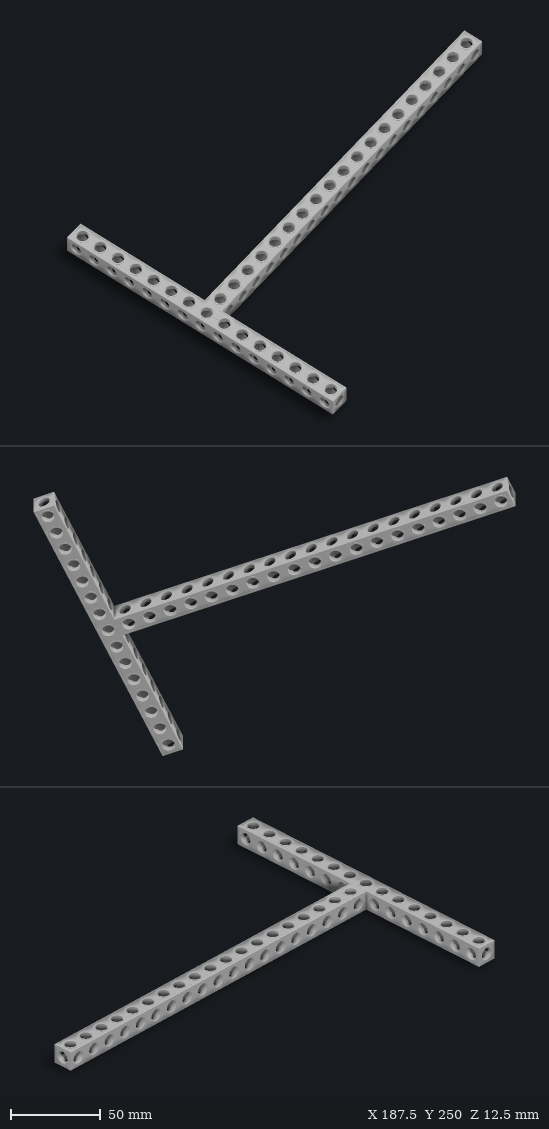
import cadquery as cq

bar_length = 187.5
overall_depth = 250.0
beam_size = 12.5
hole_diameter = 7.0
edge_chamfer = 0.3
land_width = 0.8
recess_depth = 0.2

border_width = edge_chamfer + land_width
lip_diameter = hole_diameter + 2 * border_width
half_beam = beam_size / 2
bar_center_y = (beam_size - overall_depth) / 2
stem_length = overall_depth - beam_size
bar_hole_count = round(bar_length / beam_size)
stem_hole_count = round(stem_length / beam_size)

bar_xs = [(i - (bar_hole_count - 1) / 2) * beam_size for i in range(bar_hole_count)]
stem_ys = [bar_center_y + (i + 1) * beam_size for i in range(stem_hole_count)]
vertical_centers = [(x, bar_center_y) for x in bar_xs] + [(0, y) for y in stem_ys]


def tee(inset, bottom_z, height):
    """T-shaped block whose outline lies inset from the outer faces."""
    width = beam_size - 2 * inset
    bar = cq.Workplane("XY", origin=(0, bar_center_y, bottom_z))
    bar = bar.rect(bar_length - 2 * inset, width).extrude(height)
    stem_end_y = overall_depth / 2 - inset
    stem = cq.Workplane("XY", origin=(0, (bar_center_y + stem_end_y) / 2, bottom_z))
    stem = stem.rect(width, stem_end_y - bar_center_y).extrude(height)
    return bar.union(stem).clean()


def recess(bottom_z):
    """Shallow pocket inside the border, leaving the hole lips and one thin rib between two of them."""
    lips = cq.Workplane("XY", origin=(0, 0, bottom_z)).pushPoints(vertical_centers)
    lips = lips.circle(lip_diameter / 2).extrude(recess_depth)
    rib = cq.Workplane("XY", origin=(beam_size / 2, bar_center_y, bottom_z))
    rib = rib.rect(beam_size, land_width).extrude(recess_depth)
    return tee(border_width, bottom_z, recess_depth).cut(lips).cut(rib)


def hole(length):
    """Through-hole cutter along Z, centred on the origin, that chamfers both rims."""
    radius = hole_diameter / 2
    rim_radius = radius + edge_chamfer
    end = length / 2
    profile = [
        (0, -end),
        (rim_radius, -end),
        (radius, edge_chamfer - end),
        (radius, end - edge_chamfer),
        (rim_radius, end),
        (0, end),
    ]
    return cq.Workplane("XZ").polyline(profile).close().revolve(360, (0, 0, 0), (0, 1, 0))


def hole_along_x(y, length):
    """Hole cutter along X, centred on X = 0."""
    return hole(length).rotate((0, 0, 0), (0, 1, 0), 90).translate((0, y, 0))


def hole_along_y(x, y, length):
    """Hole cutter along Y, centred on the given Y."""
    return hole(length).rotate((0, 0, 0), (1, 0, 0), 90).translate((x, y, 0))


body = tee(0, -half_beam, beam_size).faces("|Z").edges().chamfer(edge_chamfer)
body = body.cut(recess(half_beam - recess_depth)).cut(recess(-half_beam))

cutters = [hole(beam_size).translate((x, y, 0)) for x, y in vertical_centers]
cutters += [hole_along_y(x, bar_center_y, beam_size) for x in bar_xs if x != 0]
cutters += [hole_along_x(y, beam_size) for y in stem_ys]
cutters.append(hole_along_x(bar_center_y, bar_length))
cutters.append(hole_along_y(0, 0, overall_depth))

result = body
for cutter in cutters:
    result = result.cut(cutter)